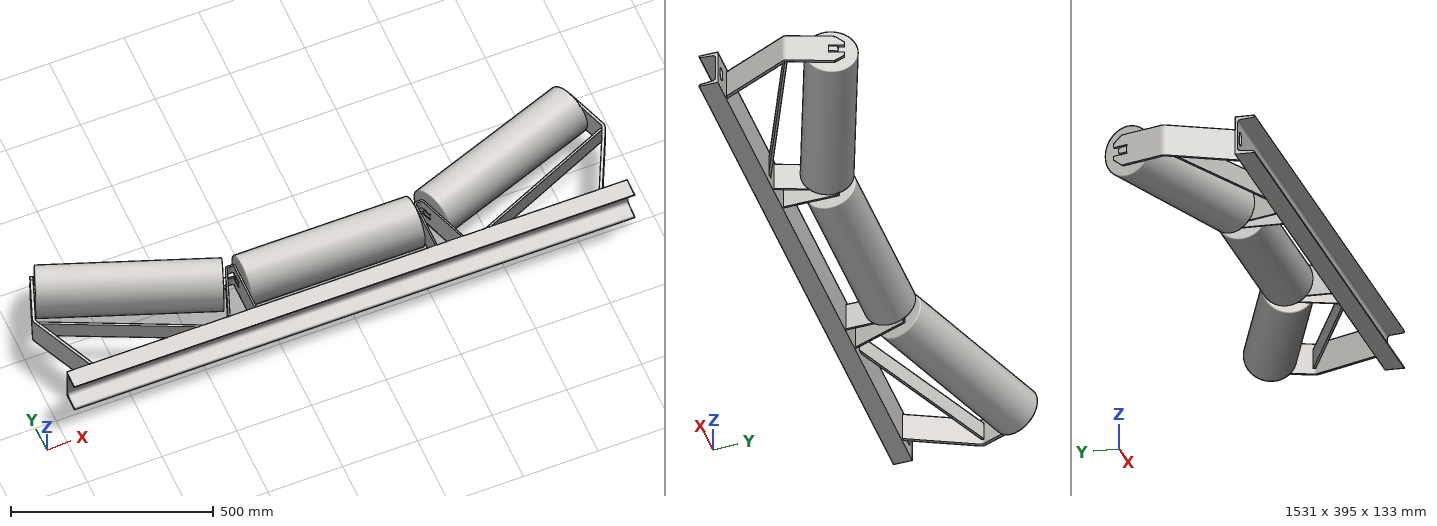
import cadquery as cq
import math

OVERALL_LENGTH = 1531.0
TILT = 20.0

BEAM_LENGTH = 1500.0
BEAM_HEIGHT = 100.0
BEAM_DEPTH = 49.0
WEB_THICKNESS = 6.0
FLANGE_THICKNESS = 8.0
FLANGE_TAPER = 0.08
FLANGE_ROOT_RADIUS = 9.0
FLANGE_TIP_RADIUS = 5.0
BEAM_SLOT_X = 723.0
BEAM_SLOT_WIDTH = 20.0
BEAM_SLOT_HEIGHT = 34.0
BEAM_SLOT_RADIUS = 8.0

ROLLER_DIAMETER = 133.0
ROLLER_LENGTH = 464.0
ROLLER_EDGE_RADIUS = 3.0
CENTER_ROLLER_Y = 118.0
SIDE_ROLLER_X = 498.0
SIDE_ROLLER_Y = 205.0
SHAFT_RADIUS = 17.0
SHAFT_WIDTH = 15.0
SHAFT_SEAT = 8.0
SHAFT_LENGTH = 12.0

BRACKET_WIDTH = 80.0
BRACKET_SLOT_WIDTH = 23.0
OUTER_THICKNESS = 8.0
OUTER_LEG_ANGLE = 25.0
OUTER_BEND_RADIUS = 17.0
OUTER_TOP = 32.0
TIP_CHAMFER_LENGTH = 25.0
TIP_CHAMFER_WIDTH = 18.0
INNER_THICKNESS = 5.0
INNER_TOP_Y = 147.0
INNER_BEND_RADIUS = 8.0
BRACE_WIDTH = 50.0
BRACE_THICKNESS = 6.0
BRACE_FOOT_X = 349.0
BRACE_HEAD_Y = 184.0

SIN_TILT = math.sin(math.radians(TILT))
COS_TILT = math.cos(math.radians(TILT))
ROLLER_HALF = ROLLER_LENGTH / 2
SHAFT_END = ROLLER_HALF + SHAFT_LENGTH


def place_on_side_roller(shape):
    """Move a shape from a roller's own axes to the left tilted roller."""
    return shape.rotate((0, 0, 0), (0, 0, 1), -TILT).translate((-SIDE_ROLLER_X, SIDE_ROLLER_Y, 0))


def side_point(along, up):
    """Point of the XY plane given along and square to the left roller's axis."""
    x = -SIDE_ROLLER_X + along * COS_TILT + up * SIN_TILT
    y = SIDE_ROLLER_Y - along * SIN_TILT + up * COS_TILT
    return (x, y)


def mirror_pair(left):
    """The left body and its mirror image on the right."""
    return [left.val(), left.mirror("YZ").val()]


def make_beam():
    half_height = BEAM_HEIGHT / 2
    taper_drop = FLANGE_TAPER * BEAM_DEPTH / 2
    tip_z = half_height - FLANGE_THICKNESS + taper_drop
    root_z = half_height - FLANGE_THICKNESS - taper_drop + FLANGE_TAPER * WEB_THICKNESS
    beam = (
        cq.Workplane("YZ")
        .polyline([
            (0, -half_height),
            (0, half_height),
            (-BEAM_DEPTH, half_height),
            (-BEAM_DEPTH, tip_z),
            (-WEB_THICKNESS, root_z),
            (-WEB_THICKNESS, -root_z),
            (-BEAM_DEPTH, -tip_z),
            (-BEAM_DEPTH, -half_height),
        ])
        .close()
        .extrude(BEAM_LENGTH / 2, both=True)
    )
    for z in (-1, 1):
        root = cq.selectors.NearestToPointSelector((0, -WEB_THICKNESS, z * root_z))
        beam = beam.edges(root).fillet(FLANGE_ROOT_RADIUS)
        tip = cq.selectors.NearestToPointSelector((0, -BEAM_DEPTH, z * tip_z))
        beam = beam.edges(tip).fillet(FLANGE_TIP_RADIUS)
    slots = (
        cq.Workplane("XY")
        .pushPoints([(-BEAM_SLOT_X, 0), (BEAM_SLOT_X, 0)])
        .box(BEAM_SLOT_WIDTH, BEAM_DEPTH, BEAM_SLOT_HEIGHT)
        .edges("|Y")
        .fillet(BEAM_SLOT_RADIUS)
    )
    return beam.cut(slots)


def make_roller():
    """Roller along X, centred on the origin, with a flattened shaft end on each side."""
    drum = (
        cq.Workplane("YZ", origin=(-ROLLER_HALF, 0, 0))
        .circle(ROLLER_DIAMETER / 2)
        .extrude(ROLLER_LENGTH)
        .edges()
        .fillet(ROLLER_EDGE_RADIUS)
    )
    shaft = cq.Workplane("YZ", origin=(-SHAFT_END, 0, 0)).circle(SHAFT_RADIUS).extrude(2 * SHAFT_END)
    flats = (
        cq.Workplane("XY")
        .box(2 * SHAFT_END, SHAFT_SEAT + SHAFT_RADIUS, SHAFT_WIDTH)
        .translate((0, (SHAFT_RADIUS - SHAFT_SEAT) / 2, 0))
    )
    return drum.union(shaft.intersect(flats))


def make_shaft_slot(start, length):
    """Cutter along a roller's axis for a bracket slot that is open at the top."""
    height = 2 * ROLLER_DIAMETER
    return cq.Workplane("XY").box(length, height, BRACKET_SLOT_WIDTH).translate(
        (start + length / 2, height / 2 - SHAFT_SEAT, 0)
    )


BEND_X = -OVERALL_LENGTH / 2 + OUTER_BEND_RADIUS
BEND_ALONG = OUTER_BEND_RADIUS - SHAFT_END
BEND_UP = (BEND_X + SIDE_ROLLER_X - BEND_ALONG * COS_TILT) / SIN_TILT
BEND_Y = side_point(BEND_ALONG, BEND_UP)[1]


def make_outer_bracket():
    leg_angle = math.radians(OUTER_LEG_ANGLE)

    def bend_point(radius, angle):
        return (BEND_X - radius * math.cos(angle), BEND_Y + radius * math.sin(angle))

    def foot_point(radius):
        x, y = bend_point(radius, -leg_angle)
        return (x + y * math.tan(leg_angle), 0)

    tilt = math.radians(TILT)
    outside = OUTER_BEND_RADIUS
    inside = OUTER_BEND_RADIUS - OUTER_THICKNESS
    bracket = (
        cq.Workplane("XY")
        .moveTo(*foot_point(outside))
        .lineTo(*bend_point(outside, -leg_angle))
        .threePointArc(bend_point(outside, 0), bend_point(outside, tilt))
        .lineTo(*side_point(-SHAFT_END, OUTER_TOP))
        .lineTo(*side_point(-SHAFT_END + OUTER_THICKNESS, OUTER_TOP))
        .lineTo(*bend_point(inside, tilt))
        .threePointArc(bend_point(inside, 0), bend_point(inside, -leg_angle))
        .lineTo(*foot_point(inside))
        .close()
        .extrude(BRACKET_WIDTH / 2, both=True)
    )
    corner = (
        cq.Workplane("YZ", origin=(-SHAFT_END, 0, 0))
        .polyline([
            (OUTER_TOP, BRACKET_WIDTH / 2),
            (OUTER_TOP - TIP_CHAMFER_LENGTH, BRACKET_WIDTH / 2),
            (OUTER_TOP, BRACKET_WIDTH / 2 - TIP_CHAMFER_WIDTH),
        ])
        .close()
        .extrude(OUTER_THICKNESS)
    )
    slot = make_shaft_slot(-SHAFT_END, OUTER_THICKNESS)
    for cutter in (corner, corner.mirror("XY"), slot):
        bracket = bracket.cut(place_on_side_roller(cutter))
    return bracket


def make_inner_bracket():
    """Folded strip with one leg along the centre roller's end and one along the side roller's end."""

    def leg_x(inset, y):
        """X at height y of the tilted leg's face, set in from the side facing the roller."""
        face_x, face_y = side_point(SHAFT_END - INNER_THICKNESS + inset, 0)
        return face_x + (y - face_y) * math.tan(math.radians(TILT))

    def outline(inset, bend_radius):
        upright_x = -(SHAFT_END - INNER_THICKNESS) - inset
        top_y = INNER_TOP_Y - inset
        return (
            cq.Workplane("XY")
            .polyline([
                (upright_x, 0),
                (upright_x, top_y),
                (leg_x(inset, top_y), top_y),
                (leg_x(inset, 0), 0),
            ])
            .close()
            .extrude(BRACKET_WIDTH / 2, both=True)
            .faces(">Y")
            .edges("|Z")
            .fillet(bend_radius)
        )

    bracket = outline(0, INNER_BEND_RADIUS).cut(
        outline(INNER_THICKNESS, INNER_BEND_RADIUS - INNER_THICKNESS)
    )
    slot_length = 4 * INNER_THICKNESS
    slot_start = SHAFT_END - INNER_THICKNESS
    upright_slot = make_shaft_slot(-slot_start - slot_length, slot_length)
    tilted_slot = make_shaft_slot(slot_start, slot_length)
    return (
        bracket
        .cut(upright_slot.translate((0, CENTER_ROLLER_Y, 0)))
        .cut(place_on_side_roller(tilted_slot))
    )


def make_brace(outer_bracket):
    """Flat strip from the beam to the bend of the outer bracket, trimmed to both."""
    run = (OVERALL_LENGTH - OUTER_THICKNESS) / 2 - BRACE_FOOT_X
    angle = math.degrees(math.atan2(BRACE_HEAD_Y, run))
    length = math.hypot(run, BRACE_HEAD_Y)
    strip = (
        cq.Workplane("XY")
        .box(2 * length, BRACE_THICKNESS, BRACE_WIDTH)
        .rotate((0, 0, 0), (0, 0, 1), -angle)
        .translate((-BRACE_FOOT_X, 0, 0))
    )
    below_beam_face = cq.Workplane("XY").box(
        2 * OVERALL_LENGTH, OVERALL_LENGTH, OVERALL_LENGTH
    ).translate((0, -OVERALL_LENGTH / 2, 0))
    return strip.cut(below_beam_face).cut(outer_bracket)


beam = make_beam()
roller = make_roller()
center_roller = roller.translate((0, CENTER_ROLLER_Y, 0))
side_roller = place_on_side_roller(roller)
outer_bracket = make_outer_bracket()
inner_bracket = make_inner_bracket()
brace = make_brace(outer_bracket)

result = cq.Compound.makeCompound([
    beam.val(),
    center_roller.val(),
    *mirror_pair(side_roller),
    *mirror_pair(outer_bracket),
    *mirror_pair(inner_bracket),
    *mirror_pair(brace),
])